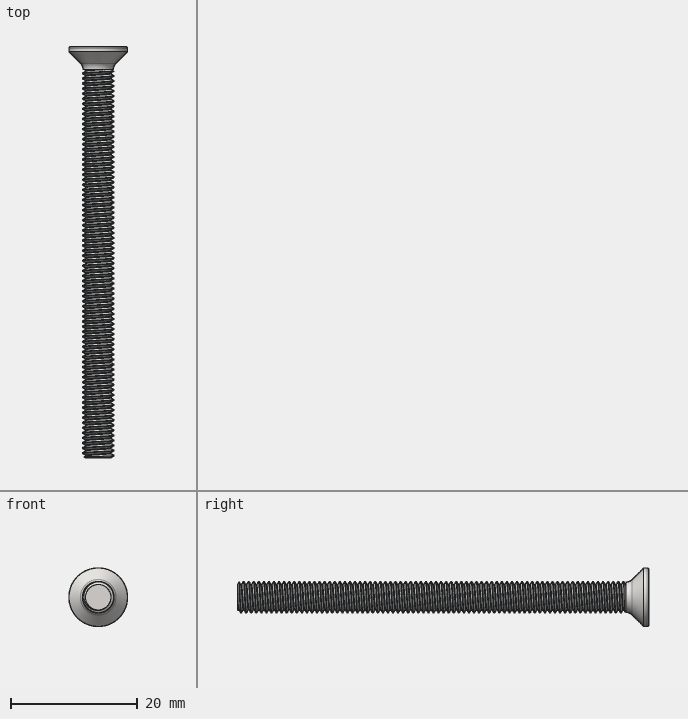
import cadquery as cq
import math

length = 65.0
thread_diameter = 5.0
pitch = 0.8

head_diameter = 9.3
rim_thickness = 0.82
rim_fillet_radius = 0.3
cone_half_angle = 45.0
neck_diameter = 4.8
neck_fillet_radius = 1.4

thread_depth = 0.49
crest_width = pitch / 8
flank_half_angle = 30.0
start_angle = -12.0
bevel_angle = 30.0

head_radius = head_diameter / 2
neck_radius = neck_diameter / 2
thread_radius = thread_diameter / 2
core_radius = thread_radius - thread_depth

half_angle = math.radians(cone_half_angle)
cone_end = rim_thickness + (head_radius - neck_radius) / math.tan(half_angle)
neck_tangent_length = neck_fillet_radius * math.tan(half_angle / 2)
thread_start = cone_end + neck_tangent_length


def head_and_neck():
    """Countersunk head with its filleted neck, which runs out where the thread starts."""
    fillet_start = (
        neck_radius + neck_tangent_length * math.sin(half_angle),
        -cone_end + neck_tangent_length * math.cos(half_angle),
    )
    fillet_middle = (
        neck_radius + neck_fillet_radius * (1 - math.cos(half_angle / 2)),
        -thread_start + neck_fillet_radius * math.sin(half_angle / 2),
    )
    return (
        cq.Workplane("XY")
        .lineTo(head_radius, 0)
        .lineTo(head_radius, -rim_thickness)
        .lineTo(*fillet_start)
        .threePointArc(fillet_middle, (neck_radius, -thread_start))
        .lineTo(0, -thread_start)
        .close()
        .revolve(360, (0, 0, 0), (0, 1, 0))
        .faces(">Y")
        .edges()
        .fillet(rim_fillet_radius)
    )


def thread_profile():
    """Radius and axial position of the corners of one thread pitch, root corner to root corner."""
    flank_width = thread_depth * math.tan(math.radians(flank_half_angle))
    return [
        (core_radius, 0),
        (thread_radius, flank_width),
        (thread_radius, flank_width + crest_width),
        (core_radius, 2 * flank_width + crest_width),
        (core_radius, pitch),
    ]


def helix_turn(radius, height):
    """One turn of a right-hand helix about Z, starting at the given height over +X."""
    return cq.Wire.makeHelix(pitch, pitch, radius, center=cq.Vector(0, 0, height)).Edges()[0]


def end_cap(height):
    """Two faces closing one end: a one-turn ramp out from the axis and the step between its ends."""
    axis_bottom = cq.Vector(0, 0, height)
    axis_top = cq.Vector(0, 0, height + pitch)
    ramp = cq.Face.makeRuledSurface(
        cq.Edge.makeLine(axis_bottom, axis_top), helix_turn(core_radius, height)
    )
    corners = [cq.Vector(radius, 0, height + z) for radius, z in thread_profile()]
    step = cq.Face.makeFromWires(cq.Wire.makePolygon([axis_bottom, *corners, axis_top], close=True))
    return [ramp, step]


def threaded_rod(turns):
    """Rod along +Z whose skin is the thread profile wound helically, turn by turn."""
    profile = thread_profile()
    faces = end_cap(0) + end_cap(turns * pitch)
    for turn in range(turns):
        edges = [helix_turn(radius, turn * pitch + z) for radius, z in profile]
        for lower, upper in zip(edges, edges[1:]):
            faces.append(cq.Face.makeRuledSurface(lower, upper))
    return cq.Workplane(obj=cq.Solid.makeSolid(cq.Shell.makeShell(faces)))


def thread_envelope():
    """Space the thread may fill: bevels rising from the core radius at both ends."""
    outer_radius = thread_radius + pitch
    bevel_width = outer_radius - core_radius
    bevel_height = bevel_width * math.tan(math.radians(bevel_angle))
    shank_length = length - thread_start
    return (
        cq.Workplane("XZ")
        .lineTo(core_radius, 0)
        .lineTo(outer_radius, bevel_height)
        .lineTo(outer_radius, shank_length - bevel_height)
        .lineTo(core_radius, shank_length)
        .lineTo(0, shank_length)
        .close()
        .revolve(360, (0, 0, 0), (0, 1, 0))
    )


def threaded_shank():
    """Threaded rod trimmed to length and laid along the screw axis."""
    spare_turns = 2
    turns = math.ceil((length - thread_start) / pitch) + 2 * spare_turns
    rod = threaded_rod(turns).rotate((0, 0, 0), (0, 0, 1), start_angle)
    rod = rod.translate((0, 0, -spare_turns * pitch))
    shank = rod.intersect(thread_envelope())
    return shank.rotate((0, 0, 0), (1, 0, 0), -90).translate((0, -length, 0))


result = head_and_neck().union(threaded_shank())